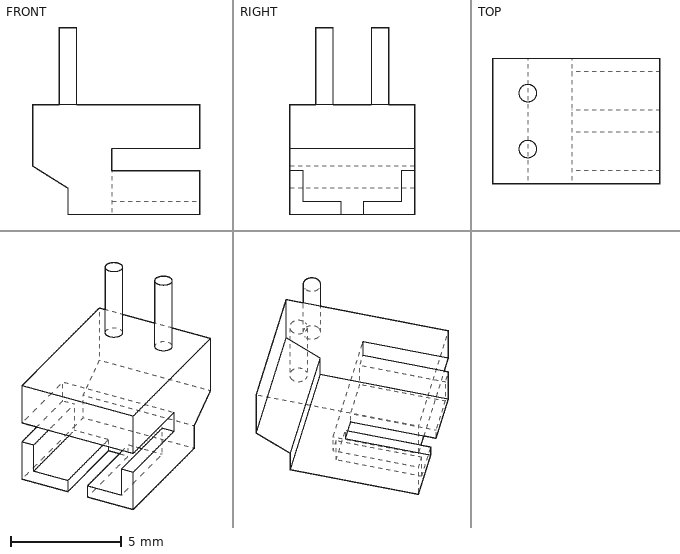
import cadquery as cq

body_length = 7.6
body_width = 5.7
total_height = 8.5
pin_height = 3.5
body_height = total_height - pin_height

slot_depth = 4.0
slot_height = 1.0
slot_bottom = 2.0

wall_thickness = 0.6

slit_width = 1.0

undercut_depth = 1.6
step_height = 1.2
slope_top = 2.2

pin_diameter = 0.8
pin_spacing = 2.54
pin_x = 1.6


def make_body():
    """Side profile in XZ, extruded symmetrically about Y = 0."""
    slot_end = body_length - slot_depth
    slot_top = slot_bottom + slot_height
    profile = [
        (undercut_depth, 0),
        (body_length, 0),
        (body_length, slot_bottom),
        (slot_end, slot_bottom),
        (slot_end, slot_top),
        (body_length, slot_top),
        (body_length, body_height),
        (0, body_height),
        (0, slope_top),
        (undercut_depth, step_height),
    ]
    return cq.Workplane("XZ").polyline(profile).close().extrude(body_width / 2, both=True)


def arm_cutter(width, bottom, top):
    """Box as long as the slot, centred on Y = 0, between two heights."""
    return (
        cq.Workplane("XY")
        .box(slot_depth, width, top - bottom, centered=(False, True, False))
        .translate((body_length - slot_depth, 0, bottom))
    )


def cut_recess(body):
    """Recess in the slot floor, with a slit through the thin floor that remains."""
    recess_width = body_width - 2 * wall_thickness
    recess = arm_cutter(recess_width, wall_thickness, slot_bottom)
    slit = arm_cutter(slit_width, 0, wall_thickness)
    return body.cut(recess).cut(slit)


def add_pins(body):
    """Two round pins standing on the top face, spaced along Y."""
    centers = [(pin_x, -pin_spacing / 2), (pin_x, pin_spacing / 2)]
    pins = (
        cq.Workplane("XY")
        .workplane(offset=body_height)
        .pushPoints(centers)
        .circle(pin_diameter / 2)
        .extrude(pin_height)
    )
    return body.union(pins)


result = add_pins(cut_recess(make_body()))